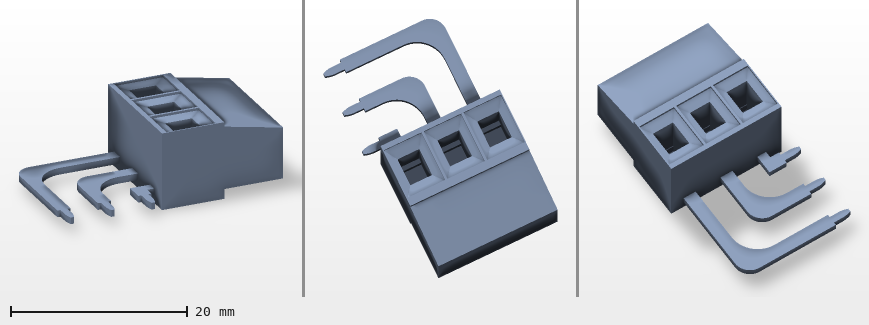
import cadquery as cq


pole_count = 3
pitch = 5.0
housing_width = 15.0
housing_height = 9.5
front_depth = 7.7
rear_depth = 7.3
rear_bottom = 1.2
rear_step_top = 8.95
rear_end_top = 7.5

entry_span_x = 4.7
entry_span_y = 6.1
entry_front_margin = 0.6
entry_wall_depth = 0.3
funnel_depth = 0.38
hole_span_x = 2.72
hole_span_y = 3.33
hole_front_y = 2.1
hole_depth = 4.95
recess_front_ledge = 0.55
recess_rear_ledge = 0.08
recess_depth = 1.0

pin_thickness = 0.82
pin_bottom = 1.0
pin_width = 1.62
pin_inset = 1.68
first_pin_reach = 12.5
outer_bend_radius = 2.0
inner_bend_radius = 3.5
short_pin_leg_width = 1.18
pin_shoulder_x = 14.02
pin_tip_x = 16.4
neck_width = 0.88
taper_length = 1.02
taper_radius = 3.8
tip_width = 0.4


def make_housing():
    """Stepped block with a sloping rear top, extruded along X."""
    rear_y = front_depth + rear_depth
    return (
        cq.Workplane("YZ")
        .moveTo(0, 0)
        .lineTo(front_depth, 0)
        .lineTo(front_depth, rear_bottom)
        .lineTo(rear_y, rear_bottom)
        .lineTo(rear_y, rear_end_top)
        .lineTo(front_depth, rear_step_top)
        .lineTo(front_depth, housing_height)
        .lineTo(0, housing_height)
        .close()
        .extrude(housing_width)
    )


def make_entry(center_x):
    """Cutter for one wire entry: straight rim, funnel, rectangular hole and floor recess."""
    entry_center_y = entry_front_margin + entry_span_y / 2
    hole_center_y = hole_front_y + hole_span_y / 2
    funnel_top = housing_height - entry_wall_depth
    funnel_bottom = funnel_top - funnel_depth
    hole_floor = funnel_bottom - hole_depth
    recess_span_y = hole_span_y - recess_front_ledge - recess_rear_ledge
    recess_center_y = hole_front_y + recess_front_ledge + recess_span_y / 2

    rim = (
        cq.Workplane("XY", origin=(center_x, entry_center_y, funnel_top))
        .rect(entry_span_x, entry_span_y)
        .extrude(entry_wall_depth)
    )
    funnel = (
        cq.Workplane("XY", origin=(center_x, entry_center_y, funnel_top))
        .rect(entry_span_x, entry_span_y)
        .workplane(offset=-funnel_depth)
        .center(0, hole_center_y - entry_center_y)
        .rect(hole_span_x, hole_span_y)
        .loft(ruled=True)
    )
    hole = (
        cq.Workplane("XY", origin=(center_x, hole_center_y, hole_floor))
        .rect(hole_span_x, hole_span_y)
        .extrude(hole_depth)
    )
    recess = (
        cq.Workplane("XY", origin=(center_x, recess_center_y, hole_floor - recess_depth))
        .rect(hole_span_x, recess_span_y)
        .extrude(recess_depth)
    )
    return rim.union(funnel).union(hole).union(recess)


def make_pin(leg_x, reach, leg_width, bent):
    """Flat L-shaped pin: leg toward -Y, arm toward +X ending in a rounded taper.

    A bent pin has a rounded corner; otherwise the corner is square.
    """
    arm_front = -reach
    arm_rear = arm_front + pin_width
    leg_right = leg_x + leg_width
    center_y = arm_front + pin_width / 2
    neck_half = neck_width / 2
    taper_x = pin_tip_x - taper_length
    tip_half = tip_width / 2

    pin = (
        cq.Workplane("XY", origin=(0, 0, pin_bottom))
        .moveTo(leg_x, 0)
        .lineTo(leg_x, arm_front)
        .lineTo(pin_shoulder_x, arm_front)
        .lineTo(pin_shoulder_x, center_y - neck_half)
        .lineTo(taper_x, center_y - neck_half)
        .radiusArc((pin_tip_x, center_y - tip_half), -taper_radius)
        .lineTo(pin_tip_x, center_y + tip_half)
        .radiusArc((taper_x, center_y + neck_half), -taper_radius)
        .lineTo(pin_shoulder_x, center_y + neck_half)
        .lineTo(pin_shoulder_x, arm_rear)
        .lineTo(leg_right, arm_rear)
        .lineTo(leg_right, 0)
        .close()
        .extrude(pin_thickness)
    )
    if bent:
        middle_z = pin_bottom + pin_thickness / 2
        outer_corner = cq.selectors.NearestToPointSelector((leg_x, arm_front, middle_z))
        inner_corner = cq.selectors.NearestToPointSelector((leg_right, arm_rear, middle_z))
        pin = pin.edges(outer_corner).fillet(outer_bend_radius)
        pin = pin.edges(inner_corner).fillet(inner_bend_radius)
    return pin


result = make_housing()
for pole in range(pole_count):
    pole_offset = (pole - (pole_count - 1) / 2) * pitch
    result = result.cut(make_entry(housing_width / 2 + pole_offset))

for pole in range(pole_count):
    is_last = pole == pole_count - 1
    result = result.union(
        make_pin(
            leg_x=pin_inset + pole * pitch,
            reach=first_pin_reach - pole * pitch,
            leg_width=short_pin_leg_width if is_last else pin_width,
            bent=not is_last,
        )
    )